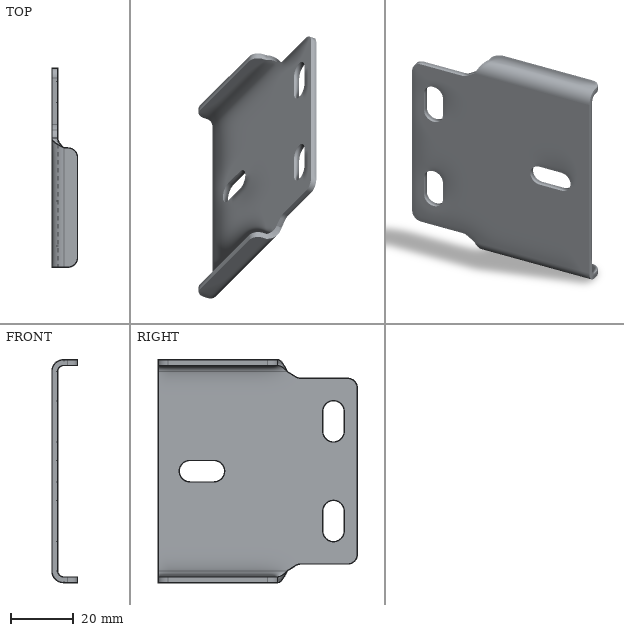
import cadquery as cq
import math


flange_reach = 8.255
length = 63.5
height = 71.12

thickness = 1.905
inner_bend_radius = 1.905
outer_bend_radius = inner_bend_radius + thickness
bend_start_z = height / 2 - outer_bend_radius
bend_angle = 90

flange_length = 38.1
bend_length = 41.2
shoulder_y = 44.55
tab_height = 59.27
corner_radius = 3.175

slot_width = 6.75
tab_slot_length = 13.1
tab_slot_edge_distance = 7.62
tab_slot_spacing = 31.75
centre_slot_length = 14.4
centre_slot_y = 13.97


def make_plate():
    """Flat plate with sloped shoulders down to a rounded tab."""
    tab_z = tab_height / 2
    plate = (
        cq.Workplane("YZ")
        .polyline([
            (0, -bend_start_z),
            (bend_length, -bend_start_z),
            (shoulder_y, -tab_z),
            (length, -tab_z),
            (length, tab_z),
            (shoulder_y, tab_z),
            (bend_length, bend_start_z),
            (0, bend_start_z),
        ])
        .close()
        .extrude(thickness)
    )
    plate = plate.edges("|X and >Y").fillet(corner_radius)
    shoulder_edges = cq.selectors.BoxSelector(
        (-thickness, shoulder_y - thickness, -tab_z - thickness / 2),
        (2 * thickness, shoulder_y + thickness, tab_z + thickness / 2),
    )
    return plate.edges("|X").edges(shoulder_edges).fillet(corner_radius)


def bend_section(start_y):
    """Quarter-ring section of the top bend, facing +Y, centred on the bend axis."""
    half_chord = math.sqrt(0.5)
    section_plane = cq.Plane(
        origin=(outer_bend_radius, start_y, bend_start_z),
        xDir=(-1, 0, 0),
        normal=(0, 1, 0),
    )
    return (
        cq.Workplane(section_plane)
        .moveTo(outer_bend_radius, 0)
        .threePointArc(
            (outer_bend_radius * half_chord, outer_bend_radius * half_chord),
            (0, outer_bend_radius),
        )
        .lineTo(0, inner_bend_radius)
        .threePointArc(
            (inner_bend_radius * half_chord, inner_bend_radius * half_chord),
            (inner_bend_radius, 0),
        )
        .close()
    )


def make_bend():
    """Top bend; its +Y end winds evenly from the plate down to the flange end."""
    runout = bend_length - flange_length
    straight = bend_section(0).extrude(flange_length)
    quarter = bend_section(flange_length).extrude(runout)
    twisted = bend_section(flange_length).twistExtrude(runout, -bend_angle)
    return straight.union(quarter.intersect(twisted))


def make_flange():
    """Flat top flange with both free corners rounded."""
    return (
        cq.Workplane("XY", origin=(0, 0, height / 2 - thickness))
        .moveTo(outer_bend_radius, 0)
        .lineTo(flange_reach, 0)
        .lineTo(flange_reach, flange_length)
        .lineTo(outer_bend_radius, flange_length)
        .close()
        .extrude(thickness)
        .edges("|Z and >X")
        .fillet(corner_radius)
    )


def slot_cutter(centres, slot_length, angle):
    """Through slots in the plate; angle 0 runs along Y, 90 along Z."""
    return (
        cq.Workplane("YZ")
        .pushPoints(centres)
        .slot2D(slot_length, slot_width, angle)
        .extrude(thickness)
    )


top_edge = make_bend().union(make_flange())
bottom_edge = top_edge.mirror("XY")

tab_slot_y = length - tab_slot_edge_distance
tab_slot_centres = [(tab_slot_y, side * tab_slot_spacing / 2) for side in (-1, 1)]

result = (
    make_plate()
    .union(top_edge)
    .union(bottom_edge)
    .cut(slot_cutter(tab_slot_centres, tab_slot_length, 90))
    .cut(slot_cutter([(centre_slot_y, 0)], centre_slot_length, 0))
)